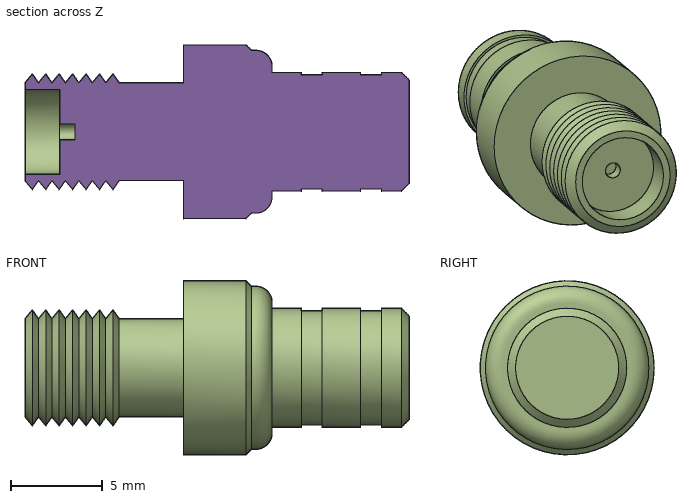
import cadquery as cq

total_length = 20.95

thread_pitch = 0.73
thread_count = 7
crest_offset = 0.4
crest_radius = 3.16
neck_radius = 2.68

collar_start = 8.63
collar_end = 13.47
collar_radius = 4.745
collar_chamfer = 0.3
collar_lip_radius = collar_radius - collar_chamfer
collar_lip_start = 12.35
collar_round = 0.9

barrel_radius = 3.25
barrel_chamfer = 0.45
groove_radius = 3.12
groove_width = 1.13
groove_starts = (15.06, 18.29)

socket_radius = 2.3
socket_depth = 1.89
contact_radius = 0.42
contact_depth = 0.84


def rod(radius, start, end):
    """Solid cylinder along X between two stations."""
    return cq.Workplane("YZ").workplane(offset=start).circle(radius).extrude(end - start)


def threaded_neck():
    """Neck carrying separate V-shaped rings in place of a helical thread."""
    profile = cq.Workplane("XY").lineTo(0, neck_radius)
    for ridge in range(thread_count):
        ridge_start = ridge * thread_pitch
        profile = profile.lineTo(ridge_start + crest_offset, crest_radius)
        profile = profile.lineTo(ridge_start + thread_pitch, neck_radius)
    profile = profile.lineTo(collar_start, neck_radius).lineTo(collar_start, 0).close()
    return profile.revolve(360, (0, 0, 0), (1, 0, 0))


def collar():
    """Large flange with a chamfer stepping down to a rounded lip."""
    flange = rod(collar_radius, collar_start, collar_lip_start).faces(">X").chamfer(collar_chamfer)
    lip = rod(collar_lip_radius, collar_lip_start, collar_end).faces(">X").edges().fillet(collar_round)
    return flange.union(lip)


def barrel():
    """Chamfered barrel with its grooves cut."""
    body = rod(barrel_radius, collar_end, total_length).faces(">X").chamfer(barrel_chamfer)
    for start in groove_starts:
        end = start + groove_width
        ring = rod(barrel_radius, start, end).cut(rod(groove_radius, start, end))
        body = body.cut(ring)
    return body


socket = rod(socket_radius, 0, socket_depth)
contact_hole = rod(contact_radius, socket_depth, socket_depth + contact_depth)

result = threaded_neck().union(collar()).union(barrel()).cut(socket).cut(contact_hole)